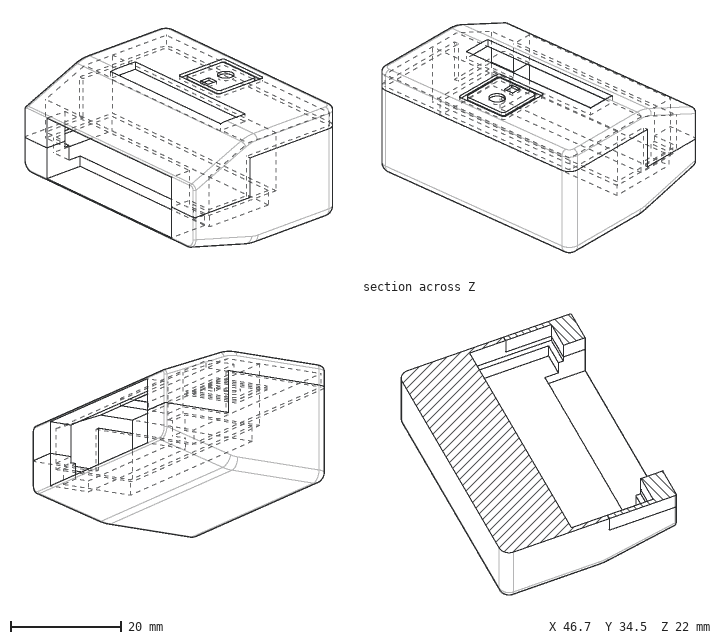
import cadquery as cq
import math


WIDTH = 46.7
DEPTH = 34.5
HEIGHT = 22.0

FRONT_TOP = 16.4
FRONT_BOTTOM = 3.65
ROOF_BREAK_Y = 13.55
BASE_BREAK_Y = 14.35
BREAK_RADIUS = 7.95

REAR_CORNER_RADIUS = 2.0
BASE_EDGE_RADIUS = 2.0
ROOF_EDGE_RADIUS = 1.0
FRONT_EDGE_RADIUS = 0.37

FRONT_PARTING_Z = 10.1
REAR_PARTING_Z = 18.0
PARTING_STEP_Y = 13.4

OPENING_WIDTH = 34.1
OPENING_FLOOR = 3.95
OPENING_TOP = 16.0
OPENING_DEPTH = 8.05

LEDGE_WIDTH = 1.0
LEDGE_Z = 8.9
CAVITY_FLOOR = 6.02
CAVITY_FRONT = 4.4
OUTER_WALL = 1.0
ROOF_THICKNESS = 1.5
INNER_WIDTH = WIDTH - 2 * OUTER_WALL

SLOT_WIDTH = 30.07
SLOT_FRONT = 13.65
SLOT_LENGTH = 5.95
SLOT_REAR = SLOT_FRONT + SLOT_LENGTH

CAVITY_REAR = SLOT_REAR + LEDGE_WIDTH

PAD_SIZE = 9.0
GROOVE_WIDTH = 1.0
GROOVE_DEPTH = 0.6
PAD_CORNER_RADIUS = 0.5
PAD_REAR_OFFSET = 7.5
PAD_Y = DEPTH - PAD_REAR_OFFSET

ROUND_RECESS_DIAMETER = 3.0
ROUND_RECESS_OFFSET = 1.15
ROUND_RECESS_Y = PAD_Y + ROUND_RECESS_OFFSET
SQUARE_RECESS_SIZE = 2.0
SQUARE_RECESS_OFFSET = 3.0
SQUARE_RECESS_Y = PAD_Y - SQUARE_RECESS_OFFSET
RECESS_DEPTH = 0.5

ROOF_UNDERSIDE = HEIGHT - ROOF_THICKNESS

ROOF_ANGLE = math.atan2(HEIGHT - FRONT_TOP, ROOF_BREAK_Y)


def extrude_across(points, width):
    """Extrude a side outline of (y, z) points, centred on the left-right centre plane."""
    return cq.Workplane("YZ").polyline(points).close().extrude(width / 2, both=True)


def block(width, y_range, z_range):
    """Rectangular block, centred left to right, between two y and two z levels."""
    length = y_range[1] - y_range[0]
    height = z_range[1] - z_range[0]
    base = cq.Workplane("XY", origin=(0, y_range[0], z_range[0]))
    return base.box(width, length, height, centered=(True, False, False))


def edge_near(y, z):
    """Select the edge that passes closest to a point on the centre plane."""
    return cq.selectors.NearestToPointSelector((0, y, z))


def outer_shape():
    """Solid envelope of both bodies, with every outer edge rounded."""
    outline = [
        (0, FRONT_BOTTOM),
        (BASE_BREAK_Y, 0),
        (DEPTH, 0),
        (DEPTH, HEIGHT),
        (ROOF_BREAK_Y, HEIGHT),
        (0, FRONT_TOP),
    ]
    shape = extrude_across(outline, WIDTH)
    shape = shape.edges(edge_near(ROOF_BREAK_Y, HEIGHT)).fillet(BREAK_RADIUS)
    shape = shape.edges(edge_near(BASE_BREAK_Y, 0)).fillet(BREAK_RADIUS)
    shape = shape.edges("|Z and >Y").fillet(REAR_CORNER_RADIUS)
    shape = shape.edges(edge_near(DEPTH, 0)).fillet(BASE_EDGE_RADIUS)
    shape = shape.edges(edge_near(DEPTH, HEIGHT)).fillet(ROOF_EDGE_RADIUS)
    return shape.faces("<Y").edges().fillet(FRONT_EDGE_RADIUS)


def front_opening():
    return block(OPENING_WIDTH, (0, OPENING_DEPTH), (OPENING_FLOOR, OPENING_TOP))


def cavity():
    """Stepped room whose ceiling runs parallel to the roof."""
    slope_drop = ROOF_THICKNESS / math.cos(ROOF_ANGLE)
    front_ceiling = FRONT_TOP + CAVITY_FRONT * math.tan(ROOF_ANGLE) - slope_drop
    ceiling_break_y = ROOF_BREAK_Y + ROOF_THICKNESS * math.tan(ROOF_ANGLE / 2)
    upper_outline = [
        (CAVITY_FRONT, LEDGE_Z),
        (CAVITY_REAR, LEDGE_Z),
        (CAVITY_REAR, ROOF_UNDERSIDE),
        (ceiling_break_y, ROOF_UNDERSIDE),
        (CAVITY_FRONT, front_ceiling),
    ]
    upper = extrude_across(upper_outline, INNER_WIDTH)
    lower = block(
        INNER_WIDTH - 2 * LEDGE_WIDTH,
        (CAVITY_FRONT + LEDGE_WIDTH, CAVITY_REAR - LEDGE_WIDTH),
        (CAVITY_FLOOR, LEDGE_Z),
    )
    return upper.union(lower)


def roof_slot():
    return block(SLOT_WIDTH, (SLOT_FRONT, SLOT_REAR), (REAR_PARTING_Z, HEIGHT))


def rounded_square(size, depth):
    """Rounded square prism reaching down from the roof at the pad centre."""
    top = cq.Workplane("XY", origin=(0, PAD_Y, HEIGHT))
    return top.rect(size, size).extrude(-depth).edges("|Z").fillet(PAD_CORNER_RADIUS)


def pad_groove():
    outside = rounded_square(PAD_SIZE + 2 * GROOVE_WIDTH, GROOVE_DEPTH)
    return outside.cut(rounded_square(PAD_SIZE, GROOVE_DEPTH))


def round_recess():
    roof = cq.Workplane("XY", origin=(0, ROUND_RECESS_Y, HEIGHT))
    return roof.circle(ROUND_RECESS_DIAMETER / 2).extrude(-RECESS_DEPTH)


def square_recess():
    roof = cq.Workplane("XY", origin=(0, SQUARE_RECESS_Y, HEIGHT))
    return roof.rect(SQUARE_RECESS_SIZE, SQUARE_RECESS_SIZE).extrude(-RECESS_DEPTH)


def base_plug():
    """Raised block of the base, behind the cavity, that fills the rear of the cover."""
    plug_range = (CAVITY_REAR, DEPTH - OUTER_WALL)
    return block(INNER_WIDTH, plug_range, (REAR_PARTING_Z, ROOF_UNDERSIDE))


def base_region():
    """Space of the base: everything under the stepped parting line, and the plug."""
    outline = [
        (0, 0),
        (DEPTH, 0),
        (DEPTH, REAR_PARTING_Z),
        (PARTING_STEP_Y, REAR_PARTING_Z),
        (PARTING_STEP_Y, FRONT_PARTING_Z),
        (0, FRONT_PARTING_Z),
    ]
    return extrude_across(outline, WIDTH).union(base_plug())


def hollow_shape():
    return outer_shape().cut(front_opening()).cut(cavity())


def make_base():
    return hollow_shape().intersect(base_region())


def make_cover():
    cover = hollow_shape().cut(base_region())
    cover = cover.cut(roof_slot()).cut(pad_groove())
    return cover.cut(round_recess()).cut(square_recess())


base = make_base()
cover = make_cover()
result = cq.Compound.makeCompound([base.solids().val(), cover.solids().val()])